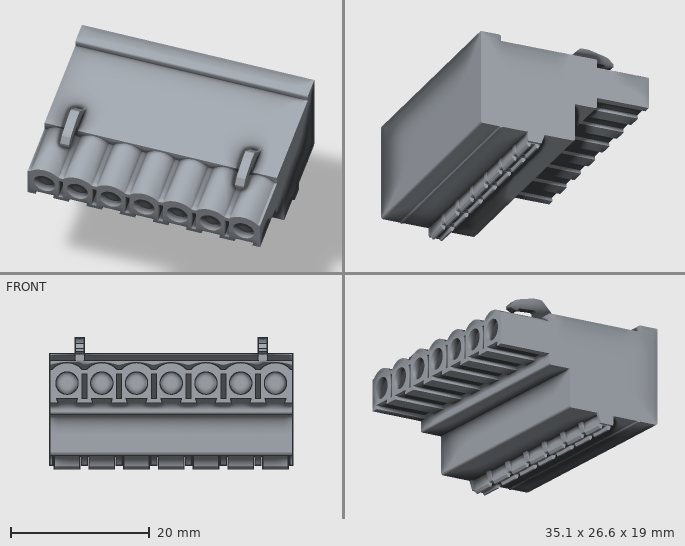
import cadquery as cq

length = 35.1
depth = 26.6
height = 19.0
poles = 7
pole_pitch = length / poles

front_y = 8.25
lower_front_y = 11.7
base_z = 2.0
step_z = 7.9
deck_z = 15.72
ridge_y = 23.38
ridge_z = 16.7
ridge_radius = 0.3
step_radius = 0.25
base_radius = 0.3

barrel_axis_z = 12.43
barrel_radius = 2.95
bore_radius = 1.6
bore_depth = 1.12
shoulder_z = 14.43
barrel_base_z = 9.58

dovetail_height = 0.63
dovetail_root_width = 3.02
dovetail_mouth_width = 2.65
slot_width = 0.7
slot_base_z = 10.2
slot_top_z = 13.75

latch_width = 1.35
latch_offset_x = 3.7
hook_tip_y = 3.93
hook_base_z = 17.2
hook_barb_z = 16.65
ramp_foot_y = 13.13
ramp_crest_y = 9.3
crest_drop = 0.1

foot_overlap = 0.35
web_width = 0.9
web_base_z = 0.55
web_front_y = 16.5
web_back_y = 19.13
web_front_taper = 0.5
web_back_chamfer_depth = 0.15
web_back_chamfer_height = 0.28
prong_width = 3.72
prong_mid_y = 18.0
prong_half_depth = 1.02
notch_half_width = 0.35
prong_tip_offset = 0.63
prong_tip_width = 0.28
prong_tip_height = 0.35
rib_y = 23.4
rib_width = 0.5
rib_height = 0.15

pole_centres = [pole_pitch * (i + 0.5) for i in range(poles)]
inner_boundaries = [pole_pitch * i for i in range(1, poles)]


def along_x(outline, x_start, x_end):
    """Extrude a closed outline drawn on the YZ plane from x_start to x_end."""
    return outline.extrude(x_end - x_start).translate((x_start, 0, 0))


def along_y(outline, y_length):
    """Extrude a closed outline drawn on the XZ plane from Y = 0 towards the back."""
    return outline.extrude(-y_length)


def box(x_start, x_end, y_start, y_end, z_start, z_end):
    size = (x_end - x_start, y_end - y_start, z_end - z_start)
    return cq.Workplane("XY").box(*size, centered=False).translate((x_start, y_start, z_start))


def round_edge(body, y, z, radius):
    """Fillet the edge that runs along X through the point (y, z)."""
    edge = cq.selectors.NearestToPointSelector((length / 2, y, z))
    return body.edges("|X").edges(edge).fillet(radius)


def make_housing():
    outline = cq.Workplane("YZ").polyline([
        (depth, base_z),
        (depth, ridge_z),
        (ridge_y, ridge_z),
        (ridge_y, deck_z),
        (front_y, deck_z),
        (front_y, step_z),
        (lower_front_y, step_z),
        (lower_front_y, base_z),
    ]).close()
    body = along_x(outline, 0, length)
    body = round_edge(body, ridge_y, ridge_z, ridge_radius)
    body = round_edge(body, front_y, step_z, step_radius)
    body = round_edge(body, lower_front_y, base_z, base_radius)
    return round_edge(body, depth, base_z, base_radius)


def make_barrels():
    block = box(0, length, 0, front_y, barrel_base_z, shoulder_z)
    half_pitch = pole_pitch / 2
    for x in pole_centres:
        barrel = cq.Workplane("XZ").center(x, barrel_axis_z).circle(barrel_radius)
        barrel = along_y(barrel, front_y)
        crown = box(x - half_pitch, x + half_pitch, 0, front_y, barrel_axis_z, deck_z)
        block = block.union(barrel.intersect(crown))
    return block


def cut_barrels(block):
    for x in pole_centres:
        bore = cq.Workplane("XZ").center(x, barrel_axis_z).circle(bore_radius)
        block = block.cut(along_y(bore, bore_depth))
        half_mouth = dovetail_mouth_width / 2
        half_root = dovetail_root_width / 2
        dovetail = cq.Workplane("XZ").center(x, barrel_base_z).polyline([
            (-half_mouth, 0),
            (half_mouth, 0),
            (half_root, dovetail_height),
            (-half_root, dovetail_height),
        ]).close()
        block = block.cut(along_y(dovetail, front_y))
    for x in inner_boundaries:
        half_slot = slot_width / 2
        block = block.cut(box(x - half_slot, x + half_slot, 0, front_y, slot_base_z, slot_top_z))
    return block


def make_latch(x_start):
    """Hook with a ramped back, a sloping top and a small downward tip."""
    outline = (
        cq.Workplane("YZ")
        .moveTo(front_y, deck_z)
        .lineTo(ramp_foot_y, deck_z)
        .threePointArc((12.35, 15.95), (11.8, 16.35))
        .lineTo(ramp_crest_y, height - crest_drop)
        .lineTo(9.05, height)
        .lineTo(7.85, height)
        .lineTo(7.35, height - crest_drop)
        .lineTo(5.12, 18.35)
        .lineTo(4.75, 18.18)
        .lineTo(hook_tip_y, 17.4)
        .lineTo(hook_tip_y, 17.02)
        .lineTo(4.7, hook_barb_z)
        .lineTo(5.12, hook_barb_z)
        .lineTo(5.35, 17.02)
        .lineTo(8.05, hook_base_z)
        .lineTo(front_y, 17.0)
        .close()
    )
    return along_x(outline, x_start, x_start + latch_width)


def make_web(x_start, x_end):
    """Keying web with a sloping front, a chamfered back and a flat base."""
    outline = cq.Workplane("YZ").polyline([
        (web_front_y, base_z + foot_overlap),
        (web_front_y, base_z),
        (web_front_y + web_front_taper, web_base_z),
        (web_back_y - web_back_chamfer_depth, web_base_z),
        (web_back_y, web_base_z + web_back_chamfer_height),
        (web_back_y, base_z + foot_overlap),
    ]).close()
    return along_x(outline, x_start, x_end)


def make_prongs(x_centre):
    """Foot ending in two tapered tips, symmetric about its middle plane."""
    tip_outer = prong_tip_offset + prong_tip_width / 2
    tip_inner = prong_tip_offset - prong_tip_width / 2
    half = [
        (prong_half_depth, base_z + foot_overlap),
        (prong_half_depth, prong_tip_height),
        (tip_outer, 0),
        (tip_inner, 0),
        (notch_half_width, web_base_z),
    ]
    other_half = [(-y, z) for y, z in reversed(half)]
    outline = cq.Workplane("YZ").center(prong_mid_y, 0).polyline(half + other_half).close()
    return along_x(outline, x_centre - prong_width / 2, x_centre + prong_width / 2)


def make_rib():
    """Low rounded rib along the underside."""
    outline = (
        cq.Workplane("YZ")
        .moveTo(rib_y - rib_width / 2, base_z)
        .threePointArc((rib_y, base_z - rib_height), (rib_y + rib_width / 2, base_z))
        .close()
    )
    return along_x(outline, 0, length)


result = make_housing().union(cut_barrels(make_barrels())).union(make_rib())

for latch_x in (latch_offset_x, length - latch_offset_x - latch_width):
    result = result.union(make_latch(latch_x))

for x in pole_centres:
    result = result.union(make_prongs(x))

for x in [0, *inner_boundaries, length]:
    web_start = max(x - web_width / 2, 0)
    web_end = min(x + web_width / 2, length)
    result = result.union(make_web(web_start, web_end))